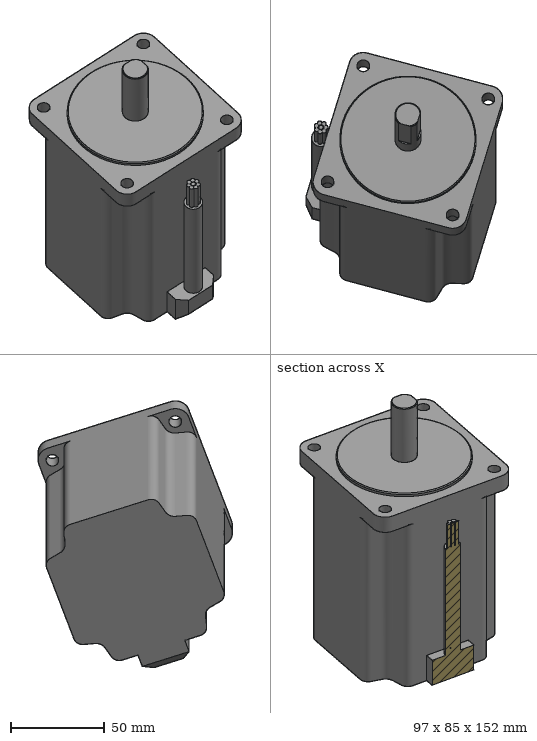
import cadquery as cq
import math

side = 85.0
half_side = side / 2
housing_height = 105.2
notch_mouth = 16.4
notch_depth = 13.2
lobe_radius = 5.0
notch_radius = 5.8
selection_margin = 0.2

flange_top = 115.0
flange_corner_radius = 7.6
hole_spacing = 69.6
hole_diameter = 6.7
pilot_top = 117.0
pilot_radius = 36.5
pilot_chamfer = 0.6

shaft_top = 152.0
shaft_radius = 7.0
shaft_chamfer = 0.5
flat_start = 127.0
flat_distance = 6.1

block_depth = 12.0
block_width = 26.6
block_height = 16.4
block_chamfer = 5.0
cable_x = half_side + 6.0
sheath_radius = 5.0
sheath_top = 85.5
wire_top = 100.6
wire_radius = 1.2
wire_ring_radius = 2.6
wire_count = 7
first_wire_angle = 95.0


def cylinder(radius, bottom, top, x=0, y=0):
    return cq.Workplane("XY", origin=(x, y, bottom)).circle(radius).extrude(top - bottom)


def make_housing():
    edge = half_side - notch_mouth
    vertex = half_side - notch_depth
    outline = []
    for turn in range(4):
        angle = math.radians(90 * turn)
        for x, y in ((half_side, edge), (vertex, vertex), (edge, half_side)):
            outline.append((
                x * math.cos(angle) - y * math.sin(angle),
                x * math.sin(angle) + y * math.cos(angle),
            ))
    body = cq.Workplane("XY").polyline(outline).close().extrude(housing_height)
    inner = cq.selectors.BoxSelector(
        (-vertex - selection_margin, -vertex - selection_margin, 0),
        (vertex + selection_margin, vertex + selection_margin, housing_height),
    )
    body = body.edges("|Z").edges(inner).fillet(notch_radius)
    lobes = body.edges("|Z").edges("<X or >X or <Y or >Y")
    return lobes.fillet(lobe_radius)


def make_flange():
    plate = (
        cq.Workplane("XY", origin=(0, 0, housing_height))
        .rect(side, side)
        .extrude(flange_top - housing_height)
        .edges("|Z").fillet(flange_corner_radius)
        .faces(">Z").workplane()
        .rect(hole_spacing, hole_spacing, forConstruction=True)
        .vertices().hole(hole_diameter)
    )
    pilot = cylinder(pilot_radius, flange_top, pilot_top)
    return plate.union(pilot.faces(">Z").edges().chamfer(pilot_chamfer))


def make_shaft():
    shaft = cylinder(shaft_radius, pilot_top, shaft_top)
    shaft = shaft.faces(">Z").edges().chamfer(shaft_chamfer)
    flat_cutter = cq.Workplane("XY", origin=(0, 0, flat_start)).box(
        shaft_radius, 2 * shaft_radius, shaft_top - flat_start, centered=(False, True, False)
    ).translate((flat_distance, 0, 0))
    for angle in (90, 180):
        shaft = shaft.cut(flat_cutter.rotate((0, 0, 0), (0, 0, 1), angle))
    return shaft


def make_cable_outlet():
    block = (
        cq.Workplane("XY", origin=(half_side, 0, 0))
        .box(block_depth, block_width, block_height, centered=(False, True, False))
    )
    block = block.faces(">X").edges("|Z or <Z").chamfer(block_chamfer)
    outlet = block.union(cylinder(sheath_radius, block_height, sheath_top, cable_x))
    outlet = outlet.union(cylinder(wire_radius, sheath_top, wire_top, cable_x))
    for index in range(wire_count):
        angle = math.radians(first_wire_angle + index * 360 / wire_count)
        x = cable_x + wire_ring_radius * math.cos(angle)
        y = wire_ring_radius * math.sin(angle)
        outlet = outlet.union(cylinder(wire_radius, sheath_top, wire_top, x, y))
    return outlet


result = make_housing().union(make_flange()).union(make_shaft()).union(make_cable_outlet())